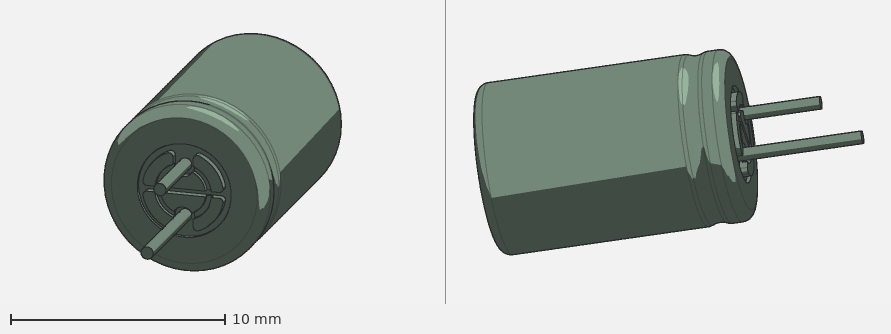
import cadquery as cq
import math


can_radius = 8.13 / 2
can_length = 12.0
can_edge_radius = 0.5

bead_center = 1.57
bead_depth = 0.12
bead_valley_half_width = 0.37
bead_half_width = 0.57

seal_radius = 2.3
seal_recess = 0.2

pad_radius = 2.0
pad_protrusion = 0.2
pad_height = seal_recess + pad_protrusion
pad_corner_radius = 0.2
split_width = 0.28
ring_outer_radius = 1.39
ring_inner_radius = 1.1
ring_depth = 0.25
channel_width = 1.0

lead_radius = 0.3
lead_offset = 1.25
overall_length = 17.8
lead_length_difference = 2.0
long_lead_end = overall_length - can_length
short_lead_end = long_lead_end - lead_length_difference


def end_plane(y):
    """Plane facing -Y at the given Y, with local x along X and local y along Z."""
    return cq.Workplane("XZ", origin=(0, y, 0))


def make_can():
    can = end_plane(can_length).circle(can_radius).extrude(can_length)
    return can.edges("%CIRCLE").fillet(can_edge_radius)


def make_bead_cutter():
    """Ring whose inner wall is a valley arc blended into the can by two tangent shoulder arcs."""
    turn = 2 * math.atan(bead_depth / bead_half_width)
    valley_radius = bead_valley_half_width / math.sin(turn)
    shoulder_radius = (bead_half_width - bead_valley_half_width) / math.sin(turn)

    bottom_r = can_radius - bead_depth
    blend_r = bottom_r + valley_radius * (1 - math.cos(turn))
    middle_r = can_radius - shoulder_radius * (1 - math.cos(turn / 2))
    middle_offset = bead_half_width - shoulder_radius * math.sin(turn / 2)

    profile = (
        cq.Workplane("XY")
        .moveTo(can_radius, bead_center - bead_half_width)
        .threePointArc(
            (middle_r, bead_center - middle_offset),
            (blend_r, bead_center - bead_valley_half_width),
        )
        .threePointArc(
            (bottom_r, bead_center),
            (blend_r, bead_center + bead_valley_half_width),
        )
        .threePointArc(
            (middle_r, bead_center + middle_offset),
            (can_radius, bead_center + bead_half_width),
        )
        .close()
    )
    return profile.revolve(360, (0, 0, 0), (0, 1, 0))


def make_seal_recess():
    return end_plane(seal_recess).circle(seal_radius).extrude(seal_recess)


def make_lead_channel(side):
    """Round-ended channel that runs from a lead outward past the rim of the pads."""
    floor = end_plane(seal_recess)
    round_end = floor.center(0, side * lead_offset).circle(channel_width / 2).extrude(pad_height)
    straight = (
        floor.center(0, side * (lead_offset + pad_radius / 2))
        .rect(channel_width, pad_radius)
        .extrude(pad_height)
    )
    return round_end.union(straight)


def make_pads():
    """Disc divided by a split, two lead channels and a shallower ring groove."""
    pads = end_plane(seal_recess).circle(pad_radius).extrude(pad_height)
    split = end_plane(seal_recess).rect(2 * pad_radius, split_width).extrude(pad_height)
    pads = pads.cut(split)
    for side in (1, -1):
        pads = pads.cut(make_lead_channel(side))

    rim_corners = pads.edges("|Y").filter(
        lambda edge: math.hypot(edge.Center().x, edge.Center().z) > pad_radius - pad_corner_radius
    )
    pads = rim_corners.fillet(pad_corner_radius)

    ring_groove = (
        end_plane(ring_depth - pad_protrusion)
        .circle(ring_outer_radius)
        .circle(ring_inner_radius)
        .extrude(ring_depth)
    )
    return pads.cut(ring_groove)


def make_lead(z, end):
    """Round lead from the seal to a tip that lies the given distance beyond the can end."""
    return end_plane(seal_recess).center(0, z).circle(lead_radius).extrude(seal_recess + end)


result = make_can().cut(make_bead_cutter()).cut(make_seal_recess())
result = result.union(make_pads())
result = result.union(make_lead(lead_offset, short_lead_end))
result = result.union(make_lead(-lead_offset, long_lead_end))